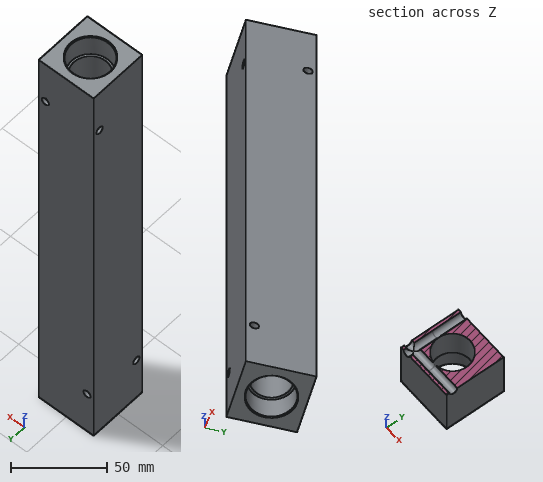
import cadquery as cq

length = 289.0
width = 38.0

bore_diameter = 23.0
socket_mouth_diameter = 27.0
socket_floor_diameter = 26.0
socket_depth = 14.2
mouth_chamfer = 0.5

pin_diameter = 5.0
pin_edge_distance = 4.5
pin_end_distance = 31.8

pin_offset = width / 2 - pin_edge_distance
pin_height = length / 2 - pin_end_distance


def end_socket(end):
    """Tapered socket with a chamfered mouth at the top (end = 1) or bottom (end = -1) of the bar."""
    profile = [
        (0, 0),
        (socket_mouth_diameter / 2 + mouth_chamfer, 0),
        (socket_mouth_diameter / 2, -mouth_chamfer),
        (socket_floor_diameter / 2, -socket_depth),
        (0, -socket_depth),
    ]
    points = [(radius, end * (length / 2 + height)) for radius, height in profile]
    return cq.Workplane("XZ").polyline(points).close().revolve(360, (0, 0), (0, 1))


def cross_hole(plane, offset, height):
    """Cylinder through the full width of the bar, normal to the given plane."""
    return (
        cq.Workplane(plane)
        .center(offset, height)
        .circle(pin_diameter / 2)
        .extrude(width, both=True)
    )


result = cq.Workplane("XY").box(width, width, length)
result = result.faces(">Z").workplane().hole(bore_diameter)

for end in (1, -1):
    result = result.cut(end_socket(end))
    for plane in ("XZ", "YZ"):
        result = result.cut(cross_hole(plane, end * pin_offset, end * pin_height))